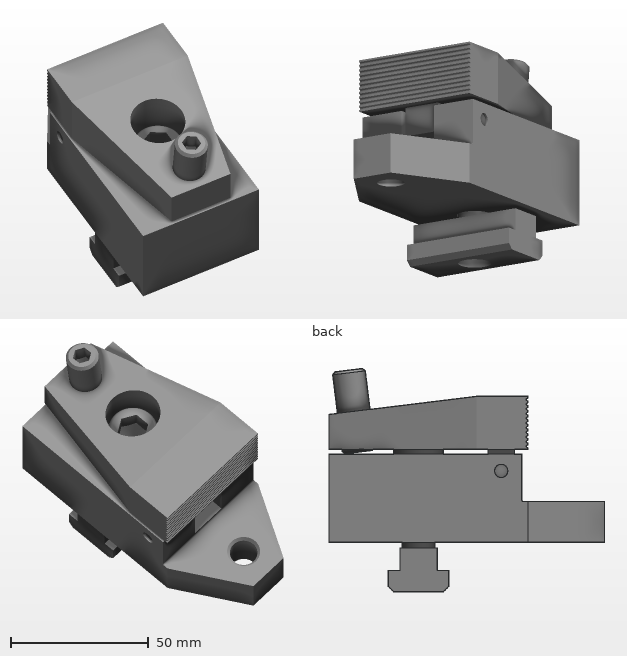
import cadquery as cq
import math


BASE_LENGTH = 100.0
WIDTH = 48.0
BASE_HEIGHT = 32.0
NOSE_WIDTH = 16.0
NOSE_HEIGHT = 14.8
NOSE_ANGLE = 30.0
STEP_X = 30.0
STEP_FILLET = 0.6
NOSE_HOLE_X = 12.4
NOSE_HOLE_DIAMETER = 10.0
NOSE_HOLE_CHAMFER = 1.0
NOSE_LENGTH = (WIDTH - NOSE_WIDTH) / 2 / math.tan(math.radians(NOSE_ANGLE))

HINGE_X = 37.5
HINGE_Z = 25.9
TONGUE_WIDTH = 14.0
TONGUE_THICKNESS = 9.7
TONGUE_BOTTOM = 20.5
TONGUE_CHAMFER = 2.5
SLOT_FLOOR = 16.0
SLOT_END_X = 2 * HINGE_X - STEP_X
PIN_DIAMETER = 4.8
PIN_RECESS = 1.0
PIN_LENGTH = WIDTH - 2 * PIN_RECESS

JAW_BOTTOM = 33.7
JAW_HEIGHT = 19.3
JAW_FRONT_X = 27.8
TAPER_X = 46.4
JAW_REAR_WIDTH = 24.4
TILT = 7.0
JAW_TOP = JAW_BOTTOM + JAW_HEIGHT
JAW_REAR_TOP = JAW_TOP - (BASE_LENGTH - TAPER_X) * math.tan(math.radians(TILT))

GROOVE_COUNT = 11
GROOVE_PITCH = 1.7
GROOVE_DEPTH = 0.6
GROOVE_MOUTH = 1.1
GROOVE_FLOOR = 0.3
TOP_GROOVE_DROP = 1.2

SCREW_X = 67.5
SCREW_DIAMETER = 12.0
HEAD_DIAMETER = 18.0
HEAD_HEIGHT = 12.0
HEAD_TOP = 39.0
HEAD_FILLET = 1.2
HEAD_HEX = 10.0
HEAD_HEX_DEPTH = 6.0
SHANK_LENGTH = 40.0
HEAD_HOLE_DIAMETER = 20.0
SHANK_HOLE_DIAMETER = 13.0
HEAD_SEAT = HEAD_TOP - HEAD_HEIGHT

NUT_LENGTH = 44.4
NUT_TOP = -2.0
NUT_BOTTOM = -18.0
NUT_SHOULDER = -10.2
NUT_NECK_WIDTH = 13.6
NUT_FLANGE_WIDTH = 22.0
NUT_CHAMFER = 2.0

SET_SCREW_DIAMETER = 12.0
SET_SCREW_LENGTH = 30.0
SET_SCREW_CHAMFER = 1.0
SET_SCREW_HEX = 6.0
SET_SCREW_HEX_DEPTH = 6.0
SET_SCREW_GAP = 0.1
SET_SCREW_TIP_X = 89.2
SET_SCREW_TIP_RADIUS = SET_SCREW_DIAMETER / 2 - SET_SCREW_CHAMFER
SET_SCREW_TIP_Z = BASE_HEIGHT + SET_SCREW_GAP + SET_SCREW_TIP_RADIUS * math.sin(math.radians(TILT))

SOCKET_POINT_ANGLE = 120.0


def plate(points, width):
    """Profile in X and Z, extruded to a width centred on Y = 0."""
    return cq.Workplane("XZ").polyline(points).close().extrude(width / 2, both=True)


def upright_cylinder(x, diameter, bottom, top):
    """Vertical cylinder on the mid-plane."""
    return cq.Workplane("XY", origin=(x, 0, bottom)).circle(diameter / 2).extrude(top - bottom)


def cross_cylinder(length):
    """Cylinder of the hinge pin diameter along Y."""
    return (
        cq.Workplane("XZ", origin=(HINGE_X, 0, HINGE_Z))
        .circle(PIN_DIAMETER / 2)
        .extrude(length / 2, both=True)
    )


def hex_socket(across_flats, depth, top):
    """Hexagon socket on the Z axis, corners on X, ending in a drill point."""
    corner_radius = across_flats / math.sqrt(3)
    point_height = corner_radius / math.tan(math.radians(SOCKET_POINT_ANGLE / 2))
    bore_profile = [
        (0, top),
        (corner_radius, top),
        (corner_radius, top - depth),
        (0, top - depth - point_height),
    ]
    bore = cq.Workplane("XZ").polyline(bore_profile).close().revolve(360, (0, 0), (0, 1))
    hexagon = (
        cq.Workplane("XY", origin=(0, 0, top))
        .polygon(6, 2 * corner_radius)
        .extrude(-depth - point_height)
    )
    return hexagon.intersect(bore)


def along_set_screw(body):
    """Move a body from the Z axis, tip at the origin, to the tilted set screw axis."""
    tilted = body.rotate((0, 0, 0), (0, 1, 0), TILT)
    return tilted.translate((SET_SCREW_TIP_X, 0, SET_SCREW_TIP_Z))


def make_base():
    outline = [
        (0, -NOSE_WIDTH / 2),
        (NOSE_LENGTH, -WIDTH / 2),
        (BASE_LENGTH, -WIDTH / 2),
        (BASE_LENGTH, WIDTH / 2),
        (NOSE_LENGTH, WIDTH / 2),
        (0, NOSE_WIDTH / 2),
    ]
    side = (
        cq.Workplane("XZ")
        .lineTo(BASE_LENGTH, 0)
        .lineTo(BASE_LENGTH, BASE_HEIGHT)
        .lineTo(STEP_X, BASE_HEIGHT)
        .lineTo(STEP_X, NOSE_HEIGHT + STEP_FILLET)
        .radiusArc((STEP_X - STEP_FILLET, NOSE_HEIGHT), STEP_FILLET)
        .lineTo(0, NOSE_HEIGHT)
        .close()
        .extrude(WIDTH / 2, both=True)
    )
    base = cq.Workplane("XY").polyline(outline).close().extrude(BASE_HEIGHT).intersect(side)

    nose_hole = upright_cylinder(NOSE_HOLE_X, NOSE_HOLE_DIAMETER, 0, NOSE_HEIGHT)
    base = base.cut(nose_hole)
    base = base.edges(cq.selectors.BoxSelector(
        (NOSE_HOLE_X - NOSE_HOLE_DIAMETER, -NOSE_HOLE_DIAMETER, NOSE_HEIGHT - NOSE_HOLE_CHAMFER),
        (NOSE_HOLE_X + NOSE_HOLE_DIAMETER, NOSE_HOLE_DIAMETER, NOSE_HEIGHT + NOSE_HOLE_CHAMFER),
    )).chamfer(NOSE_HOLE_CHAMFER)

    slot = cq.Workplane("XY").box(
        SLOT_END_X - STEP_X, TONGUE_WIDTH, BASE_HEIGHT - SLOT_FLOOR, centered=(False, True, False)
    ).translate((STEP_X, 0, SLOT_FLOOR))
    counterbore = upright_cylinder(SCREW_X, HEAD_HOLE_DIAMETER, HEAD_SEAT, BASE_HEIGHT)
    shank_hole = upright_cylinder(SCREW_X, SHANK_HOLE_DIAMETER, 0, HEAD_SEAT)
    return base.cut(slot).cut(counterbore).cut(shank_hole).cut(cross_cylinder(WIDTH))


def make_tongue():
    left = HINGE_X - TONGUE_THICKNESS / 2
    right = HINGE_X + TONGUE_THICKNESS / 2
    return plate([
        (left, JAW_BOTTOM),
        (left, TONGUE_BOTTOM + TONGUE_CHAMFER),
        (left + TONGUE_CHAMFER, TONGUE_BOTTOM),
        (right - TONGUE_CHAMFER, TONGUE_BOTTOM),
        (right, TONGUE_BOTTOM + TONGUE_CHAMFER),
        (right, JAW_BOTTOM),
    ], TONGUE_WIDTH)


def make_groove(middle_z):
    return plate([
        (JAW_FRONT_X, middle_z - GROOVE_MOUTH / 2),
        (JAW_FRONT_X + GROOVE_DEPTH, middle_z - GROOVE_FLOOR / 2),
        (JAW_FRONT_X + GROOVE_DEPTH, middle_z + GROOVE_FLOOR / 2),
        (JAW_FRONT_X, middle_z + GROOVE_MOUTH / 2),
    ], WIDTH)


def make_jaw():
    outline = [
        (JAW_FRONT_X, -WIDTH / 2),
        (TAPER_X, -WIDTH / 2),
        (BASE_LENGTH, -JAW_REAR_WIDTH / 2),
        (BASE_LENGTH, JAW_REAR_WIDTH / 2),
        (TAPER_X, WIDTH / 2),
        (JAW_FRONT_X, WIDTH / 2),
    ]
    side = plate([
        (JAW_FRONT_X, JAW_BOTTOM),
        (BASE_LENGTH, JAW_BOTTOM),
        (BASE_LENGTH, JAW_REAR_TOP),
        (TAPER_X, JAW_TOP),
        (JAW_FRONT_X, JAW_TOP),
    ], WIDTH)
    blank = cq.Workplane("XY", origin=(0, 0, JAW_BOTTOM)).polyline(outline).close().extrude(JAW_HEIGHT)
    jaw = blank.intersect(side)
    for index in range(GROOVE_COUNT):
        jaw = jaw.cut(make_groove(JAW_TOP - TOP_GROOVE_DROP - index * GROOVE_PITCH))

    head_hole = upright_cylinder(SCREW_X, HEAD_HOLE_DIAMETER, JAW_BOTTOM, JAW_TOP)
    set_screw_hole = along_set_screw(upright_cylinder(0, SET_SCREW_DIAMETER, 0, SET_SCREW_LENGTH))
    return jaw.union(make_tongue()).cut(head_hole).cut(set_screw_hole).cut(cross_cylinder(WIDTH))


def make_pin():
    return cross_cylinder(PIN_LENGTH)


def make_cap_screw():
    head = upright_cylinder(0, HEAD_DIAMETER, HEAD_SEAT, HEAD_TOP).faces(">Z").edges().fillet(HEAD_FILLET)
    shank = upright_cylinder(0, SCREW_DIAMETER, HEAD_SEAT - SHANK_LENGTH, HEAD_SEAT)
    screw = head.union(shank).cut(hex_socket(HEAD_HEX, HEAD_HEX_DEPTH, HEAD_TOP))
    return screw.translate((SCREW_X, 0, 0))


def make_nut():
    neck = NUT_NECK_WIDTH / 2
    flange = NUT_FLANGE_WIDTH / 2
    profile = [
        (-neck, NUT_TOP),
        (-neck, NUT_SHOULDER),
        (-flange, NUT_SHOULDER),
        (-flange, NUT_BOTTOM + NUT_CHAMFER),
        (-flange + NUT_CHAMFER, NUT_BOTTOM),
        (flange - NUT_CHAMFER, NUT_BOTTOM),
        (flange, NUT_BOTTOM + NUT_CHAMFER),
        (flange, NUT_SHOULDER),
        (neck, NUT_SHOULDER),
        (neck, NUT_TOP),
    ]
    nut = plate(profile, NUT_LENGTH).translate((SCREW_X, 0, 0))
    return nut.cut(upright_cylinder(SCREW_X, SCREW_DIAMETER, NUT_BOTTOM, NUT_TOP))


def make_set_screw():
    screw = upright_cylinder(0, SET_SCREW_DIAMETER, 0, SET_SCREW_LENGTH)
    screw = screw.faces("<Z or >Z").edges().chamfer(SET_SCREW_CHAMFER)
    return along_set_screw(screw.cut(hex_socket(SET_SCREW_HEX, SET_SCREW_HEX_DEPTH, SET_SCREW_LENGTH)))


base = make_base()
jaw = make_jaw()
pin = make_pin()
cap_screw = make_cap_screw()
nut = make_nut()
set_screw = make_set_screw()

result = cq.Compound.makeCompound(
    [base.val(), jaw.val(), pin.val(), cap_screw.val(), nut.val(), set_screw.val()]
)